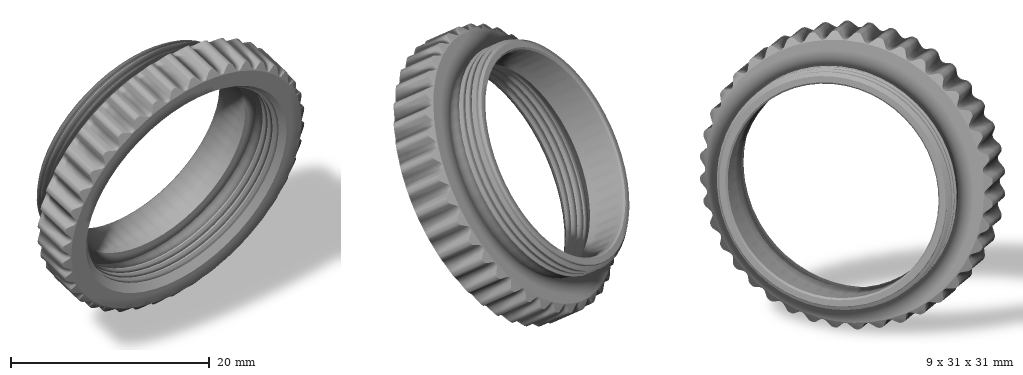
import cadquery as cq
import math

length = 9.0
overall_height = 31.02
flange_width = 5.0
flange_start = length - flange_width

tooth_count = 40
tooth_angle = 2 * math.pi / tooth_count
tip_edge_angle = math.radians(4.3)
valley_radius = 14.8
tooth_round = 0.5
tip_radius = tooth_round + (overall_height / 2 - tooth_round) / math.cos(tip_edge_angle)
tooth_bevel_width = 0.5
tooth_bevel_height = 0.8

pitch = 0.8
major_radius = 12.5
major_flat = pitch / 8
overlap = 0.05

collar_radius = 12.0
collar_thread_length = 2.5
collar_minor_radius = 12.07
collar_minor_flat = pitch / 4
collar_crest = 0.8

bore_radius = 11.17
bore_bevel = 0.2
bore_length = 4.4
relief_length = 1.3
relief_radius = 12.55
socket_thread_start = bore_length + relief_length
socket_minor_radius = 12.0
socket_minor_flat = pitch / 6
socket_crest = 5.83
socket_mouth_radius = 12.85

clearance = 0.3


def cylinder(start, end, radius):
    return cq.Workplane("YZ", origin=(start, 0, 0)).circle(radius).extrude(end - start)


def turned(profile):
    """Solid of revolution about the X axis from (x, radius) points."""
    return cq.Workplane("XZ").polyline(profile).close().revolve(360, (0, 0, 0), (1, 0, 0))


def thread_rod(start, end, crest, minor_radius, minor_flat):
    """Rod with a right-handed ridge that covers at least start..end and has a crest at X = crest on +Y."""
    turns_before = math.ceil((crest - start) / pitch) + 1
    turns_after = math.ceil((end - crest) / pitch) + 1
    ridge_start = crest - turns_before * pitch
    ridge_length = (turns_before + turns_after) * pitch

    flank_run = (pitch - major_flat - minor_flat) / 2 / (major_radius - minor_radius)
    foot_width = pitch - minor_flat + 2 * overlap * flank_run
    profile = [
        (minor_radius - overlap, -foot_width / 2),
        (major_radius, -major_flat / 2),
        (major_radius, major_flat / 2),
        (minor_radius - overlap, foot_width / 2),
    ]
    helix = cq.Workplane(cq.Wire.makeHelix(pitch, ridge_length, minor_radius))
    ridge = cq.Workplane("XZ").polyline(profile).close().sweep(helix, isFrenet=True)
    ridge = ridge.rotate((0, 0, 0), (1, 1, 1), 120).translate((ridge_start, 0, 0))

    core = cylinder(ridge_start - pitch, ridge_start + ridge_length + pitch, minor_radius)
    return core.union(ridge)


def polar(radius, angle):
    return (radius * math.cos(angle), radius * math.sin(angle))


def toothed_disc():
    """Flange blank with rounded valleys and tooth tips joined by straight flanks."""
    valley_centre = cq.Vector(valley_radius + tooth_round, 0)
    tip_centre = cq.Vector(*polar(tip_radius - tooth_round, tip_edge_angle))
    span = tip_centre - valley_centre
    span_angle = math.atan2(span.y, span.x)
    normal_angle = span_angle + math.acos(2 * tooth_round / span.Length)
    normal = cq.Vector(*polar(tooth_round, normal_angle))

    flank_foot = valley_centre + normal
    flank_top = tip_centre - normal
    tip_edge = cq.Vector(*polar(tip_radius, tip_edge_angle))
    middle_angle = (normal_angle - math.pi + tip_edge_angle) / 2
    tip_middle = tip_centre + cq.Vector(*polar(tooth_round, middle_angle))

    def at(point, angle, side=1):
        """The point turned to the valley at this angle; side -1 mirrors it across the valley."""
        return polar(math.hypot(point.x, point.y), angle + side * math.atan2(point.y, point.x))

    outline = cq.Workplane("YZ", origin=(flange_start, 0, 0)).moveTo(*at(flank_foot, 0, -1))
    for index in range(tooth_count):
        valley = index * tooth_angle
        next_valley = valley + tooth_angle
        tooth_middle = valley + tooth_angle / 2
        outline = (
            outline.threePointArc(polar(valley_radius, valley), at(flank_foot, valley))
            .lineTo(*at(flank_top, valley))
            .threePointArc(at(tip_middle, valley), at(tip_edge, valley))
            .threePointArc(polar(tip_radius, tooth_middle), at(tip_edge, next_valley, -1))
            .threePointArc(at(tip_middle, next_valley, -1), at(flank_top, next_valley, -1))
            .lineTo(*at(flank_foot, next_valley, -1))
        )
    return outline.close().extrude(flange_width)


def flange():
    """Toothed disc with both ends of the teeth bevelled."""
    face_radius = tip_radius - tooth_bevel_height
    slope = tooth_bevel_height / tooth_bevel_width
    peak_radius = tip_radius + clearance
    peak_inset = (peak_radius - face_radius) / slope
    envelope = turned([
        (flange_start, 0),
        (flange_start, face_radius),
        (flange_start + peak_inset, peak_radius),
        (length - peak_inset, peak_radius),
        (length, face_radius),
        (length, 0),
    ])
    return toothed_disc().intersect(envelope)


def collar():
    """Outside thread with a 45 degree lead-in, and a plain neck up to the flange."""
    peak_radius = major_radius + clearance
    envelope = turned([
        (0, 0),
        (0, collar_radius),
        (peak_radius - collar_radius, peak_radius),
        (collar_thread_length, peak_radius),
        (collar_thread_length, 0),
    ])
    rod = thread_rod(0, collar_thread_length, collar_crest, collar_minor_radius, collar_minor_flat)
    return rod.intersect(envelope).union(cylinder(collar_thread_length, flange_start, collar_radius))


def bore():
    """Plain hole through the collar with a bevelled mouth."""
    return turned([
        (0, 0),
        (0, bore_radius + bore_bevel),
        (bore_bevel, bore_radius),
        (bore_length, bore_radius),
        (bore_length, 0),
    ])


def socket():
    """Threaded hole in the flange: plain relief, thread, then a 45 degree mouth."""
    peak_radius = major_radius + clearance
    envelope = cylinder(socket_thread_start, length, peak_radius)
    rod = thread_rod(socket_thread_start, length, socket_crest, socket_minor_radius, socket_minor_flat)
    thread = rod.intersect(envelope)
    relief = cylinder(bore_length, socket_thread_start, relief_radius)
    mouth_depth = socket_mouth_radius - bore_radius
    mouth = turned([
        (length - mouth_depth, 0),
        (length - mouth_depth, bore_radius),
        (length, socket_mouth_radius),
        (length, 0),
    ])
    return thread.union(relief).union(mouth)


result = flange().union(collar()).cut(bore()).cut(socket())